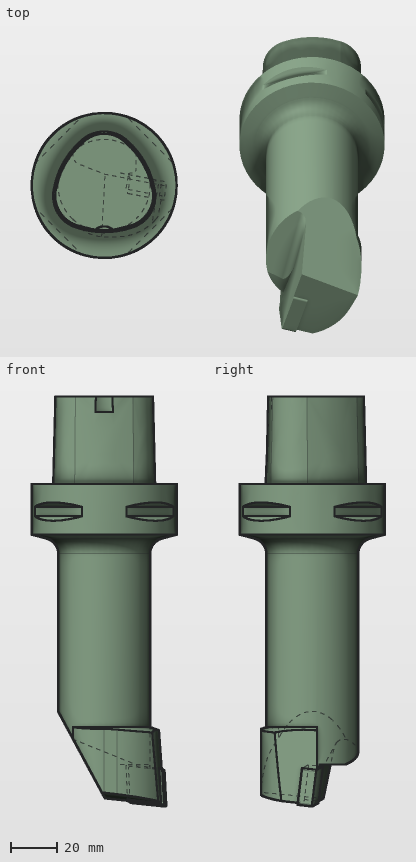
import cadquery as cq
import math

TAPER_LENGTH = 38.0
TAPER_FLAT = 20.3
LOBE_COUNT = 3
LOBE_PITCH = 360 / LOBE_COUNT
LOBE_RADIUS = 14.4
LOBE_CENTRE = 9.0
TAPER_SLOPE = 1 / 40
KEYWAY_RADIUS = 5.2
KEYWAY_FLOOR = 17.7
KEYWAY_LENGTH = 6.8

FLANGE_RADIUS = 31.5
FLANGE_HEIGHT = 22.0
FLANGE_CONE_ANGLE = 15.0
GRIP_Z = -12.0
GRIP_FLOOR = 28.0
GRIP_FLOOR_WIDTH = 4.0
GRIP_MOUTH_WIDTH = 8.0
GRIP_COUNT = 4

SHANK_RADIUS = 20.0
NECK_RADIUS = 6.7
TOOL_LENGTH = 140.0
CUT_OFFSET = 27.0

HEAD_TOP = -105.5
HEAD_RADIUS = 22.3
HEAD_FLAT = 5.6
HEAD_BACK = 2.0
HEAD_START = (-13.6, -14.7)
HEAD_START_RADIUS = 16.0
HEAD_TOP_SLOPE = 0.365

BACK_CUT_START = -98.7
BACK_CUT_ANGLE = 28.3

CEILING_START = (-13.5, -110.8)
CEILING_END = (13.9, -121.8)
FLUTE_CORNER_RADIUS = 3.0

INSERT_EDGE = 16.1
INSERT_ANGLE = 80.0
INSERT_THICKNESS = 6.35
NOSE_RADIUS = 0.8
EDGE_ANGLE = 6.0
END_TILT = 6.5
SIDE_TILT = 10.0
END_INSET = 0.8
SIDE_INSET = 1.2

REACH = 120.0


end_slope = math.tan(math.radians(END_TILT))
side_slope = math.tan(math.radians(SIDE_TILT))
edge_x = -math.cos(math.radians(EDGE_ANGLE))
edge_z = math.sin(math.radians(EDGE_ANGLE))
edge_y = end_slope * edge_z - side_slope * edge_x
insert_plane = cq.Plane(
    origin=(CUT_OFFSET - NOSE_RADIUS, 0, NOSE_RADIUS - TOOL_LENGTH),
    xDir=(edge_x, edge_y, edge_z),
    normal=(side_slope, 1, -end_slope),
)
side_x = math.cos(math.radians(INSERT_ANGLE))
side_y = math.sin(math.radians(INSERT_ANGLE))


def turned(point, angle):
    """Plan point turned about the tool axis by an angle in degrees."""
    x, y = point
    cosine = math.cos(math.radians(angle))
    sine = math.sin(math.radians(angle))
    return (x * cosine - y * sine, x * sine + y * cosine)


def add_taper_outline(workplane, shrink):
    """Three-lobed outline of tangent arcs, drawn in by a given amount, with one lobe at +Y."""
    gap = TAPER_FLAT - LOBE_RADIUS
    lobe_centre = turned((LOBE_CENTRE, 0), -LOBE_PITCH / 4)
    side_centre = (LOBE_CENTRE**2 - gap**2) / (2 * gap - LOBE_CENTRE)
    side_radius = side_centre + TAPER_FLAT - shrink
    seam_normal = math.atan2(lobe_centre[0], side_centre - lobe_centre[1])
    seam_x = side_radius * math.sin(seam_normal)
    seam_y = side_centre - side_radius * math.cos(seam_normal)
    side_middle = (0, shrink - TAPER_FLAT)
    lobe_middle = turned((LOBE_CENTRE + LOBE_RADIUS - shrink, 0), -LOBE_PITCH / 4)

    outline = workplane.moveTo(-seam_x, seam_y)
    for lobe in range(LOBE_COUNT):
        angle = lobe * LOBE_PITCH
        outline = outline.threePointArc(turned(side_middle, angle), turned((seam_x, seam_y), angle))
        next_side = turned((-seam_x, seam_y), angle + LOBE_PITCH)
        outline = outline.threePointArc(turned(lobe_middle, angle), next_side)
    return outline.close()


def make_taper():
    lower = add_taper_outline(cq.Workplane("XY"), 0)
    upper = add_taper_outline(lower.workplane(offset=TAPER_LENGTH), TAPER_LENGTH * TAPER_SLOPE)
    taper = upper.loft(ruled=True)
    keyway = (
        cq.Workplane("XY", origin=(0, -KEYWAY_FLOOR - KEYWAY_RADIUS, TAPER_LENGTH - KEYWAY_LENGTH))
        .circle(KEYWAY_RADIUS)
        .extrude(KEYWAY_LENGTH)
    )
    return taper.cut(keyway)


def make_flange_and_shank():
    """Flange, conical underside, rounded neck and shank, turned about Z."""
    cone = math.radians(FLANGE_CONE_ANGLE)
    neck_x = SHANK_RADIUS + NECK_RADIUS * (1 - math.sin(cone))
    neck_z = -FLANGE_HEIGHT - (FLANGE_RADIUS - neck_x) * math.tan(cone)
    centre_x = SHANK_RADIUS + NECK_RADIUS
    centre_z = neck_z - NECK_RADIUS * math.cos(cone)
    middle = (math.pi / 2 + cone + math.pi) / 2
    neck_middle = (centre_x + NECK_RADIUS * math.cos(middle), centre_z + NECK_RADIUS * math.sin(middle))
    return (
        cq.Workplane("XZ")
        .moveTo(0, 0)
        .lineTo(FLANGE_RADIUS, 0)
        .lineTo(FLANGE_RADIUS, -FLANGE_HEIGHT)
        .lineTo(neck_x, neck_z)
        .threePointArc(neck_middle, (SHANK_RADIUS, centre_z))
        .lineTo(SHANK_RADIUS, -TOOL_LENGTH)
        .lineTo(0, -TOOL_LENGTH)
        .close()
        .revolve(360, (0, 0, 0), (0, 1, 0))
    )


def make_gripper_grooves():
    """Straight grooves with flared flanks, spaced evenly round the flange."""
    profile = [
        (GRIP_FLOOR, -GRIP_FLOOR_WIDTH / 2),
        (GRIP_FLOOR, GRIP_FLOOR_WIDTH / 2),
        (FLANGE_RADIUS, GRIP_MOUTH_WIDTH / 2),
        (FLANGE_RADIUS, -GRIP_MOUTH_WIDTH / 2),
    ]
    groove = (
        cq.Workplane("XZ", origin=(0, 0, GRIP_Z)).polyline(profile).close().extrude(FLANGE_RADIUS, both=True)
    )
    step = 360 / GRIP_COUNT
    return [groove.rotate((0, 0, 0), (0, 0, 1), step * (i + 0.5)) for i in range(GRIP_COUNT)]


def make_head():
    """Bulged column beside the shank, under a conical top."""
    arc_share = math.sqrt(0.5)
    column = (
        cq.Workplane("XY", origin=(0, 0, -TOOL_LENGTH))
        .moveTo(0, -HEAD_RADIUS)
        .lineTo(HEAD_FLAT, -HEAD_RADIUS)
        .threePointArc(
            (HEAD_FLAT + HEAD_RADIUS * arc_share, -HEAD_RADIUS * arc_share),
            (HEAD_FLAT + HEAD_RADIUS, 0),
        )
        .lineTo(HEAD_FLAT + HEAD_RADIUS, HEAD_BACK)
        .lineTo(0, HEAD_BACK)
        .lineTo(*HEAD_START)
        .radiusArc((0, -HEAD_RADIUS), -HEAD_START_RADIUS)
        .close()
        .extrude(TOOL_LENGTH + HEAD_TOP)
    )
    outer = 2 * SHANK_RADIUS
    top = (
        cq.Workplane("XZ")
        .moveTo(0, -TOOL_LENGTH)
        .lineTo(0, HEAD_TOP)
        .lineTo(SHANK_RADIUS, HEAD_TOP)
        .lineTo(outer, HEAD_TOP - (outer - SHANK_RADIUS) * HEAD_TOP_SLOPE)
        .lineTo(outer, -TOOL_LENGTH)
        .close()
        .revolve(360, (0, 0, 0), (0, 1, 0))
    )
    return column.intersect(top)


def make_back_cut():
    """Everything behind the slanted plane that trims the -X side of the head."""
    depth = TOOL_LENGTH + BACK_CUT_START
    run = depth * math.tan(math.radians(BACK_CUT_ANGLE))
    return (
        cq.Workplane("XZ")
        .moveTo(-SHANK_RADIUS, BACK_CUT_START)
        .lineTo(run - SHANK_RADIUS, -TOOL_LENGTH)
        .lineTo(-REACH, -TOOL_LENGTH)
        .lineTo(-REACH, BACK_CUT_START)
        .close()
        .extrude(REACH, both=True)
    )


def make_relief_envelope():
    """Space inside the head's end and side faces, which run parallel to the insert's flanks."""
    corner_y = END_INSET - NOSE_RADIUS
    corner_x = (SIDE_INSET - NOSE_RADIUS + corner_y * side_x) / side_y
    return (
        cq.Workplane(insert_plane)
        .moveTo(corner_x, corner_y)
        .lineTo(corner_x + REACH, corner_y)
        .lineTo(corner_x + REACH, corner_y + REACH * side_y)
        .lineTo(corner_x + REACH * side_x, corner_y + REACH * side_y)
        .close()
        .extrude(REACH, both=True)
    )


def make_flute():
    """Chip space above the rake plane, closed upwards by a sloping ceiling."""
    slope = (CEILING_END[1] - CEILING_START[1]) / (CEILING_END[0] - CEILING_START[0])
    under_ceiling = (
        cq.Workplane("XZ")
        .moveTo(-REACH / 2, CEILING_START[1] + slope * (-REACH / 2 - CEILING_START[0]))
        .lineTo(*CEILING_END)
        .lineTo(REACH / 2, CEILING_END[1])
        .lineTo(REACH / 2, -2 * TOOL_LENGTH)
        .lineTo(-REACH / 2, -2 * TOOL_LENGTH)
        .close()
        .extrude(REACH, both=True)
    )
    above_rake = cq.Workplane(insert_plane).rect(2 * REACH, 2 * REACH).extrude(REACH / 2)
    corner = cq.NearestToPointSelector((CEILING_START[0], 0, CEILING_START[1]))
    return under_ceiling.intersect(above_rake).edges(corner).fillet(FLUTE_CORNER_RADIUS)


def make_insert():
    """Rhombic cutting insert with rounded corners."""
    core = INSERT_EDGE - 2 * NOSE_RADIUS / side_y
    corners = [(0, 0), (core, 0), (core * (1 + side_x), core * side_y), (core * side_x, core * side_y)]
    return (
        cq.Workplane(insert_plane).polyline(corners).close().offset2D(NOSE_RADIUS).extrude(-INSERT_THICKNESS)
    )


lower_head_block = cq.Workplane("XY", origin=(0, 0, HEAD_TOP)).rect(REACH, REACH).extrude(-REACH)
shaft = make_flange_and_shank()
for groove in make_gripper_grooves():
    shaft = shaft.cut(groove)
head = shaft.intersect(lower_head_block).union(make_head())
head = head.intersect(make_relief_envelope()).cut(make_flute())
holder = shaft.cut(lower_head_block).union(head).cut(make_back_cut()).union(make_taper())

insert = make_insert()
holder = holder.cut(insert)

result = cq.Compound.makeCompound([holder.val(), insert.val()])